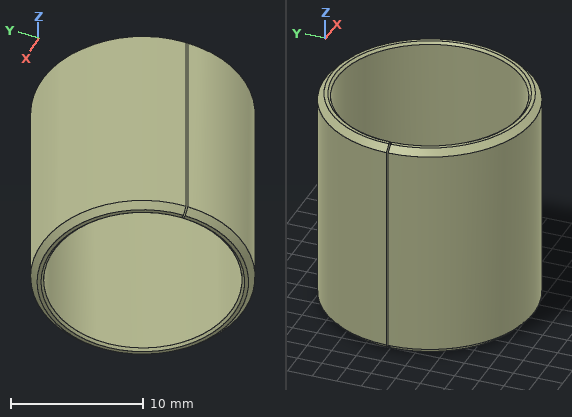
import cadquery as cq

outer_diameter = 17.0
inner_diameter = 15.0
length = 18.0
outer_chamfer = 0.5
inner_chamfer = 0.2
slit_angle = 1.0

outer_radius = outer_diameter / 2
inner_radius = inner_diameter / 2
half_length = length / 2
full_turn = 360.0


def make_wall_section():
    """Wall section on the -X side, with both rims chamfered inside and out."""
    return (
        cq.Workplane("XZ")
        .moveTo(-inner_radius, inner_chamfer - half_length)
        .lineTo(-inner_radius - inner_chamfer, -half_length)
        .lineTo(-outer_radius + outer_chamfer, -half_length)
        .lineTo(-outer_radius, outer_chamfer - half_length)
        .lineTo(-outer_radius, half_length - outer_chamfer)
        .lineTo(-outer_radius + outer_chamfer, half_length)
        .lineTo(-inner_radius - inner_chamfer, half_length)
        .lineTo(-inner_radius, half_length - inner_chamfer)
        .close()
    )


def make_split_bush():
    """Sweep the section from -X through -Y, stopping short to leave the slit open."""
    return make_wall_section().revolve(full_turn - slit_angle, (0, 0, 0), (0, 1, 0))


result = make_split_bush()